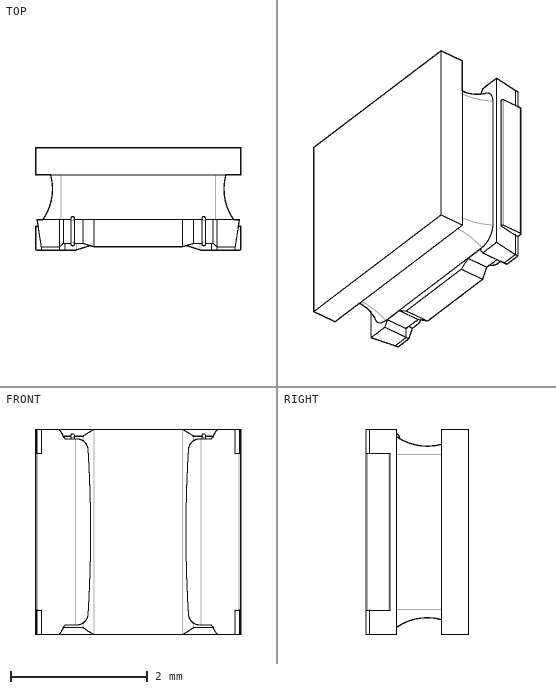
import cadquery as cq
import math


side = 3.0
half_side = side / 2
depth = 1.5
back_y = depth / 2
mount_y = -depth / 2

plate_thickness = 0.4
plate_y = back_y - plate_thickness
winding_length = 0.65
flange_back_y = plate_y - winding_length
pad_thickness = 0.05
flange_front_y = mount_y + pad_thickness

winding_half_at_plate = 1.28
winding_half_at_waist = 1.255
winding_half_at_flange = 1.392
waist_y = 0.132
corner_radius_at_plate = 0.15
corner_centre = winding_half_at_plate - corner_radius_at_plate

flange_half_back = 1.48
flange_half_front = 1.415

channel_mouth_outer = 1.152
channel_floor_outer = 1.092
channel_floor_inner = 0.81
channel_mouth_inner = 0.648
groove_depth = 0.05
notch_depth = 0.102
groove_floor_y = flange_front_y + groove_depth
notch_floor_z = half_side - notch_depth

pad_notch_z = 1.36
pad_inner_end = 0.745
pad_inner_middle = 0.695
pad_corner_radius = 0.165
pad_bevel_start = 0.918
pad_bevel_end_y = -0.68
clip_half_height = 1.145
clip_back_y = -0.395
clip_front_radius = 0.027
clip_back_radius = 0.015

wire_x = 0.957
wire_radius = 0.0255
wire_lift = 0.01
wire_leg_depth = 0.105
wire_back_y = -0.258
wire_front_y = -0.685
wire_bend_radius = 0.03


def make_plate():
    """Plain square plate behind the winding."""
    return (
        cq.Workplane("XY")
        .box(side, plate_thickness, side)
        .translate((0, (plate_y + back_y) / 2, 0))
    )


def winding_wall_section():
    """Wall section at the +Z end of the +X side, reaching inwards to the corner centre."""
    return (
        cq.Workplane("XY", origin=(corner_centre, 0, corner_centre))
        .moveTo(0, flange_back_y)
        .lineTo(winding_half_at_flange - corner_centre, flange_back_y)
        .threePointArc(
            (winding_half_at_waist - corner_centre, waist_y),
            (winding_half_at_plate - corner_centre, plate_y),
        )
        .lineTo(0, plate_y)
        .close()
    )


def make_winding():
    """Solid block with a concave wall on each side and a concave quarter turn at each corner."""
    winding = (
        cq.Workplane("XY")
        .box(2 * corner_centre, winding_length, 2 * corner_centre)
        .translate((0, (plate_y + flange_back_y) / 2, 0))
    )
    wall = winding_wall_section().extrude(-2 * corner_centre)
    corner = winding_wall_section().revolve(90, (0, 0, 0), (0, -1, 0))
    for angle in (0, 90, 180, 270):
        for piece in (wall, corner):
            winding = winding.union(piece.rotate((0, 0, 0), (0, 1, 0), angle))
    return winding


def channel_section(plane, mouth, floor):
    """Trapezoid on the -X side, from the mouth level to the floor level."""
    return cq.Workplane(plane).polyline(
        [
            (-channel_mouth_outer, mouth),
            (-channel_floor_outer, floor),
            (-channel_floor_inner, floor),
            (-channel_mouth_inner, mouth),
        ]
    ).close()


def make_flange():
    """Tapered square flange with two grooves in its face and a notch at each end of every groove."""
    flange = (
        cq.Workplane("XY")
        .polyline(
            [
                (-flange_half_back, flange_back_y),
                (flange_half_back, flange_back_y),
                (flange_half_front, flange_front_y),
                (-flange_half_front, flange_front_y),
            ]
        )
        .close()
        .extrude(half_side, both=True)
    )
    groove = channel_section("XY", flange_front_y, groove_floor_y).extrude(half_side, both=True)
    notch = channel_section("XZ", half_side, notch_floor_z).extrude(half_side, both=True)
    for cutter in (groove, notch, notch.mirror("XY")):
        flange = flange.cut(cutter).cut(cutter.mirror("YZ"))
    return flange


def make_pad():
    """Mounting pad on the -X side: fills its groove and slopes down to the groove's inner flank."""
    notch_slope = (channel_mouth_outer - channel_floor_outer) / notch_depth
    pad_notch_x = channel_mouth_outer - notch_slope * (half_side - pad_notch_z)
    pad = (
        cq.Workplane("XZ", origin=(0, groove_floor_y, 0))
        .moveTo(-flange_half_front, -half_side)
        .lineTo(-channel_mouth_outer, -half_side)
        .lineTo(-pad_notch_x, -pad_notch_z)
        .lineTo(-pad_inner_end, -pad_notch_z)
        .threePointArc((-pad_inner_middle, 0), (-pad_inner_end, pad_notch_z))
        .lineTo(-pad_notch_x, pad_notch_z)
        .lineTo(-channel_mouth_outer, half_side)
        .lineTo(-flange_half_front, half_side)
        .close()
        .extrude(groove_floor_y - mount_y)
    )
    inner_corners = cq.selectors.BoxSelector(
        (-pad_bevel_start, mount_y, -half_side),
        (-pad_inner_middle, groove_floor_y, half_side),
    )
    pad = pad.edges("|Y").edges(inner_corners).fillet(pad_corner_radius)
    bevel = (
        cq.Workplane("XY")
        .polyline(
            [
                (-pad_bevel_start, mount_y),
                (-pad_inner_middle, pad_bevel_end_y),
                (-pad_inner_middle, mount_y),
            ]
        )
        .close()
        .extrude(half_side, both=True)
    )
    return pad.cut(bevel)


def make_clip():
    """Block on the -X side of the flange, with rounded outer edges."""
    width = half_side - flange_half_front
    height = clip_back_y - mount_y
    return (
        cq.Workplane("XY")
        .box(width, height, 2 * clip_half_height)
        .translate((width / 2 - half_side, mount_y + height / 2, 0))
        .edges("|Z and <X and <Y")
        .fillet(clip_front_radius)
        .edges("|Z and <X and >Y")
        .fillet(clip_back_radius)
    )


def make_terminal(flange):
    """Terminal on the -X side, fitted to the flange."""
    return make_pad().union(make_clip()).cut(flange)


def make_wire_end(x):
    """Round wire along the notch floor, with a short leg at each end bent towards -Z."""
    top_z = notch_floor_z + wire_lift
    leg_z = top_z - wire_leg_depth
    back = wire_back_y - wire_radius
    front = wire_front_y + wire_radius
    bend = wire_bend_radius
    bend_offset = bend * (1 - math.sqrt(0.5))
    path = (
        cq.Workplane("YZ", origin=(x, 0, 0))
        .moveTo(back, leg_z)
        .lineTo(back, top_z - bend)
        .threePointArc((back - bend_offset, top_z - bend_offset), (back - bend, top_z))
        .lineTo(front + bend, top_z)
        .threePointArc((front + bend_offset, top_z - bend_offset), (front, top_z - bend))
        .lineTo(front, leg_z)
    )
    return cq.Workplane("XY", origin=(x, back, leg_z)).circle(wire_radius).sweep(path)


plate = make_plate()
winding = make_winding()
flange = make_flange()
left_terminal = make_terminal(flange)
terminals = [left_terminal, left_terminal.mirror("YZ")]
wire_ends = [make_wire_end(x) for x in (-wire_x, wire_x)]

for wire_end in wire_ends:
    winding = winding.cut(wire_end)
    flange = flange.cut(wire_end)
    terminals = [terminal.cut(wire_end) for terminal in terminals]

result = cq.Compound.makeCompound(
    [
        plate.val(),
        winding.val(),
        flange.val(),
        *[terminal.val() for terminal in terminals],
        *[wire_end.val() for wire_end in wire_ends],
    ]
)